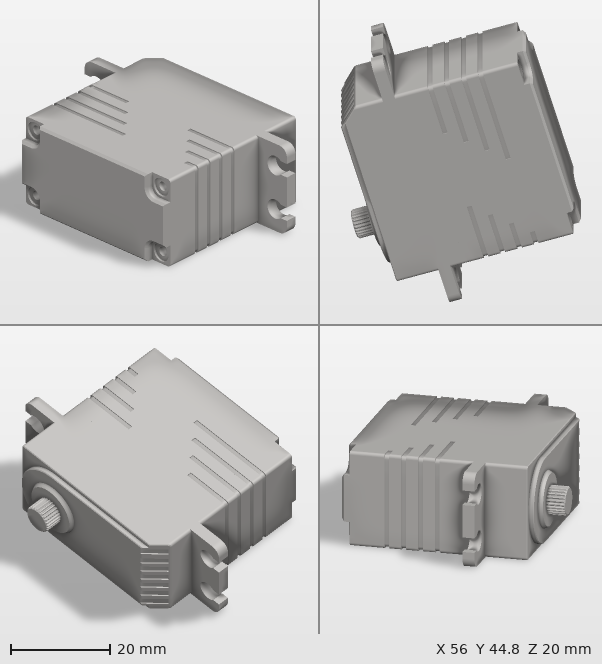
import cadquery as cq
import math


case_length = 40.0
case_width = 20.0
corner_radius = 0.7
cover_top = 4.75
middle_top = 24.5
case_top = 38.9
bevel_start = 35.8
edge_break = 0.15

rim_chamfer = 0.5
pocket_size = 5.05
pocket_depth = 1.7
pocket_radius = 2.0
screw_inset = 2.5
screw_head_radius = 2.0
screw_head_depth = 0.5
screw_hole_radius = 1.0

groove_count = 4
groove_width = 1.0
groove_depth = 0.2
groove_corner_radius = 0.8
groove_pitch = 3.5
first_groove = 8.95
groove_step = 3.0
groove_gap = 16.95

flange_length = 56.0
flange_bottom = 27.55
flange_thickness = 2.5
flange_radius = 2.0
mount_hole_radius = 2.2
mount_hole_x = 24.8
mount_hole_z = 5.0
mount_slot_width = 3.1

plate_top = 40.0
plate_radius = 9.0
plate_end_x = 10.0
plate_edge_break = 0.15
collar_top = 40.9
collar_base_radius = 6.0
collar_top_radius = 5.5

flute_width = 1.5
flute_depth = 0.3
flute_bottom = 36.1
flute_pitch = 2.5
flute_run_count = 6
first_flute_z = -7.7
last_flute_z = 7.85

shaft_x = 9.7
shaft_top = 44.75
shaft_radius = 3.0
spline_root_radius = 2.75
spline_count = 25
spline_tip_half = 0.15
spline_root_half = 0.4
spline_end_chamfer = 0.35

half_length = case_length / 2
half_width = case_width / 2


def along_y(y):
    """Workplane at height y that extrudes toward +Y; local x is X and local y is -Z."""
    return cq.Workplane(cq.Plane(origin=(0, y, 0), xDir=(1, 0, 0), normal=(0, 1, 0)))


def case_block(bottom, top, inset=0.0, radius=corner_radius):
    """Rounded block between two heights, with its four sides moved in by inset."""
    return (
        along_y(bottom)
        .rect(case_length - 2 * inset, case_width - 2 * inset)
        .extrude(top - bottom)
        .edges("|Y")
        .fillet(radius)
    )


def make_cover():
    cover = case_block(0, cover_top)
    screw_x = half_length - screw_inset
    screw_z = half_width - screw_inset
    screw_points = [(sx * screw_x, sz * screw_z) for sx in (-1, 1) for sz in (-1, 1)]

    pockets = (
        along_y(0)
        .rect(case_length, case_width, forConstruction=True)
        .vertices()
        .rect(2 * pocket_size, 2 * pocket_size)
        .extrude(pocket_depth)
        .edges("|Y")
        .fillet(pocket_radius)
    )
    cover = cover.cut(pockets).faces("<Y").chamfer(rim_chamfer)

    heads = along_y(pocket_depth).pushPoints(screw_points).circle(screw_head_radius).extrude(screw_head_depth)
    holes = along_y(0).pushPoints(screw_points).circle(screw_hole_radius).extrude(cover_top)
    return cover.cut(heads).cut(holes)


def make_groove(index):
    """Cutter for a shallow band around the case, interrupted on the two broad faces."""
    bottom = first_groove + index * groove_pitch
    top = bottom + groove_width
    gap_start = -index * groove_step
    ring = (
        along_y(bottom)
        .rect(case_length, case_width)
        .extrude(groove_width)
        .cut(case_block(bottom, top, groove_depth, groove_corner_radius))
    )
    uncut = (
        along_y(bottom)
        .center(gap_start + groove_gap / 2, 0)
        .rect(groove_gap, case_width)
        .extrude(groove_width)
    )
    return ring.cut(uncut)


def make_middle_case():
    middle = case_block(cover_top, middle_top)
    for index in range(groove_count):
        middle = middle.cut(make_groove(index))
    return middle


def bevel_cutter():
    """Wedge above the 45 degree bevel."""
    reach = collar_top - bevel_start
    return (
        cq.Workplane("XY")
        .moveTo(-half_length, bevel_start)
        .line(reach, reach)
        .line(-reach, 0)
        .close()
        .extrude(case_width, both=True)
    )


def make_flange():
    flange = (
        along_y(flange_bottom)
        .rect(flange_length, case_width)
        .extrude(flange_thickness)
        .edges("|Y")
        .fillet(flange_radius)
    )
    slot_length = flange_length / 2 - mount_hole_x
    for side in (-1, 1):
        for z in (-mount_hole_z, mount_hole_z):
            notch = along_y(flange_bottom).center(side * mount_hole_x, z)
            hole = notch.circle(mount_hole_radius).extrude(flange_thickness)
            slot = (
                notch.center(side * slot_length / 2, 0)
                .rect(slot_length, mount_slot_width)
                .extrude(flange_thickness)
            )
            flange = flange.cut(hole).cut(slot)
    return flange


def make_plate():
    """Raised plate with a round end that surrounds the output shaft."""
    plate = (
        along_y(case_top)
        .moveTo(-half_length, -plate_radius)
        .lineTo(plate_end_x, -plate_radius)
        .threePointArc((plate_end_x + plate_radius, 0), (plate_end_x, plate_radius))
        .lineTo(-half_length, plate_radius)
        .close()
        .extrude(plate_top - case_top)
    )
    return plate.faces(">Y").chamfer(plate_edge_break).cut(bevel_cutter())


def make_collar():
    height = collar_top - plate_top
    base = cq.Vector(shaft_x, plate_top, 0)
    cone = cq.Solid.makeCone(collar_base_radius, collar_top_radius, height, base, cq.Vector(0, 1, 0))
    return cq.Workplane(cone)


def make_flutes():
    """Flat-bottomed flutes that run up the bevel and out through its upper end."""
    centres = [first_flute_z + index * flute_pitch for index in range(flute_run_count)] + [last_flute_z]
    start_x = -half_length + flute_bottom - bevel_start
    rise = plate_top - flute_bottom
    offset = flute_depth * math.sqrt(2)
    profile = (
        cq.Workplane("XY")
        .moveTo(start_x, flute_bottom)
        .line(rise, rise)
        .line(offset, 0)
        .line(-rise - offset / 2, -rise - offset / 2)
        .close()
        .extrude(flute_width / 2, both=True)
    )
    flutes = cq.Workplane()
    for z in centres:
        flutes = flutes.add(profile.translate((0, 0, z)))
    return flutes.combine()


def make_upper_case():
    body = case_block(middle_top, case_top).cut(bevel_cutter())
    top_edges = body.faces(">Y").edges().vals()
    bevel_edges = body.faces(cq.selectors.DirectionMinMaxSelector(cq.Vector(-1, 1, 0))).edges().vals()

    top_rim = [edge for edge in top_edges if not any(edge.isSame(other) for other in bevel_edges)]
    bevel_rim = [edge for edge in bevel_edges if not any(edge.isSame(other) for other in top_edges)]
    body = body.newObject(top_rim + bevel_rim).chamfer(edge_break)
    return body.union(make_flange()).union(make_plate()).union(make_collar()).cut(make_flutes())


def spline_point(radius, pitches):
    """Point at a radius, turned by a number of spline pitches."""
    angle = pitches * 2 * math.pi / spline_count
    return (radius * math.cos(angle), radius * math.sin(angle))


def make_output_shaft():
    """Splined shaft standing on the collar."""
    outline = []
    for tooth in range(spline_count):
        outline += [
            spline_point(spline_root_radius, tooth - spline_root_half),
            spline_point(shaft_radius, tooth - spline_tip_half),
            spline_point(shaft_radius, tooth + spline_tip_half),
            spline_point(spline_root_radius, tooth + spline_root_half),
        ]
    length = shaft_top - collar_top
    splines = along_y(collar_top).center(shaft_x, 0).polyline(outline).close().extrude(length)
    envelope = (
        along_y(collar_top)
        .center(shaft_x, 0)
        .circle(shaft_radius)
        .extrude(length)
        .faces(">Y")
        .chamfer(spline_end_chamfer)
    )
    return splines.intersect(envelope)


cover = make_cover()
middle_case = make_middle_case()
upper_case = make_upper_case()
output_shaft = make_output_shaft()

result = cq.Compound.makeCompound([cover.val(), middle_case.val(), upper_case.val(), output_shaft.val()])